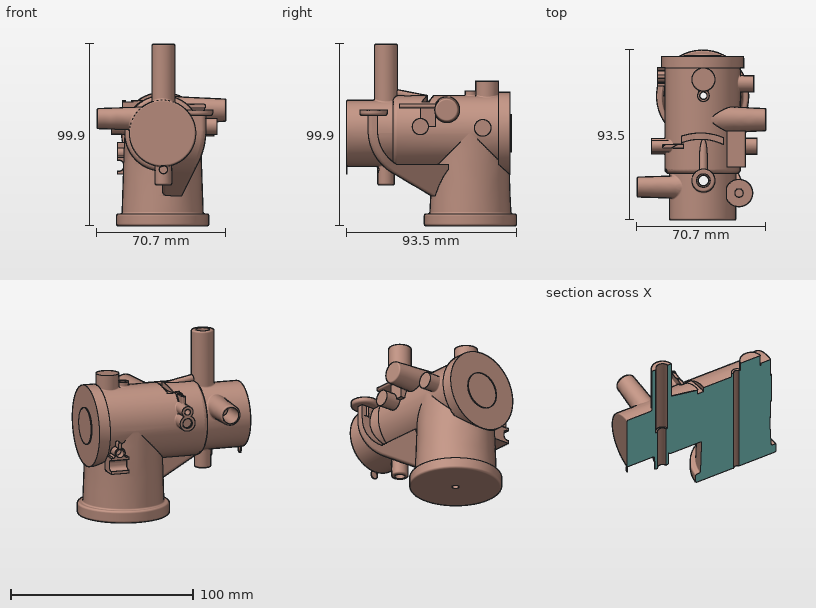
import cadquery as cq
import math

MAIN_D = 41.6
SHOULDER_Y = -42.5
SHOULDER_FILLET = 2.4
FRONT_D = 36.5
FRONT_Y = -68.1
FRONT_EDGE_FILLET = 0.9
CORE_D = 35.5
REAR_FLANGE_D = 45.2
REAR_FLANGE_Y = 15.5
REAR_Y = 21.85
CAP_D = 20.4
CAP_HEIGHT = 0.6

BASE_D = 50.8
BASE_Z = -50.92
BASE_HEIGHT = 6.7
BASE_FILLET = 1.2
NECK_DRAFT = 2.0
NECK_FOOT_FILLET = 0.9

PORT_X = 0.45
PIPE_Y = -46.35
PIPE_D = 12.7
PIPE_TOP_Z = 48.99
PIPE_BORE_D = 7.49
PASSAGE_D = 5.64
TIP_FILLET = 0.9
PIN_D = 9.14
PIN_BOTTOM_Z = -28.4
PIN_BUMP_D = 4.57
PIN_BUMP_Z = -19.9
PIN_BUMP_Y = -51.1
DISC_D = 4.64
DISC_THICKNESS = 0.4

PIPE_RIB_D = 4.5
PIPE_RIB_START_Y = -23.5
PIPE_RIB_ANGLE = 11.0

TUBE_TIP_FILLET = 0.8
LEFT_TUBE_X = -35.96
LEFT_TUBE_Y = -49.9
LEFT_TUBE_Z = 8.1
LEFT_TUBE_TIP_D = 11.1
LEFT_TUBE_ROOT_D = 13.4
LEFT_TUBE_BORE_D = 9.14
LEFT_TUBE_FLOOR_D = 7.9
LEFT_TUBE_BORE_DEPTH = 16.0
RIGHT_TUBE_X = 34.76
RIGHT_TUBE_Y = -12.9
RIGHT_TUBE_Z = 12.7
RIGHT_TUBE_TIP_D = 12.3
RIGHT_TUBE_ROOT_D = 15.6

TOP_STUB_D = 12.7
TOP_STUB_Y = 9.16
TOP_STUB_Z = 28.7
RING_D = 6.4
RING_Y = 0.3
RING_Z = 23.3
RING_HOLE_D = 3.91
REAR_STUB_D = 9.14
REAR_STUB_X = 28.15
REAR_STUB_Y = 6.76
REAR_STUB_Z = 3.0
SENSOR_Y = -27.5
SENSOR_Z = 3.7
SENSOR_D = 8.7
RIGHT_SENSOR_X = 29.95
RIGHT_SENSOR_D = 8.9
PORT_ROOT_FILLET = 0.9
BOSS_ROOT_FILLET = 0.6

LEFT_SENSOR_X = -28.15
LEFT_SENSOR_HOLE_D = 5.45
LEFT_SENSOR_HOLE_DEPTH = 1.7
UPPER_BOSS_Z = 10.06
UPPER_BOSS_D = 6.4
UPPER_HOLE_D = 3.2
BOSS_RIB_X = -22.15
BOSS_RIB_WIDTH = 1.8
BOSS_RIB_ROOT_X = -9.0
BOSS_RIB_TIP_FILLET = 0.55
BOSS_RIB_ROOT_FILLET = 0.35
BOSS_RIB_TOP_Z = 17.9

SLOT_FLOOR_Z = 17.3
SLOT_CENTRE_X = -1.2
SLOT_CENTRE_Y = -52.2
SLOT_OUTER_R = 32.0
SLOT_WIDTH = 3.45

PAD_X = 23.6
PAD_END_Y = -19.2
PAD_FRONT_Y = -38.9
PAD_TOP_Z = 16.0
PAD_THICKNESS = 2.2
PAD_WEB_X = 23.1
PAD_EDGE_FILLET = 1.0

KNOB_X = 20.0
KNOB_Y = -53.2
KNOB_D = 15.1
KNOB_TOP_Z = 12.8
KNOB_BOTTOM_Z = 9.7
KNOB_FLAT_X = 13.0
KNOB_FILLET = 1.4
KNOB_HOLE_D = 4.64
KNOB_HOLE_DEPTH = 9.0
ARM_X = 23.8
ARM_FRONT_Y = -56.2
ARM_BEND_Z = 1.5
ARM_BEND_R = 26.9
ARM_SLOPE = 30.5
ARM_THICKNESS = 5.2
ARM_BOTTOM_Z = -34.3
ARM_SIDE_R = 39.0
ARM_SIDE_ANGLE = 26.6
ARM_EDGE_FILLET = 1.8
ARM_FRONT_FILLET = 2.5

CLIP_X = -24.8
CLIP_Y = 10.66
CLIP_WIDTH = 10.2
CLIP_TOP_Z = -13.4
CLIP_BOTTOM_Z = -22.4
CLIP_CHANNEL_HEIGHT = 6.0
CLIP_CHANNEL_R = 2.4
CLIP_CHANNEL_X = -21.5
CLIP_CHANNEL_Z = -17.8
EYE_Z = -11.0
EYE_D = 6.1
EYE_HOLE_D = 4.64
EYE_RIB_WIDTH = 1.8
EYE_RIB_TOP_Z = -4.95
EYE_RIB_TIP_FILLET = 0.85
EYE_FOOT_REACH = 3.6
EYE_FOOT_PEAK_Z = -9.0

QUARTER_TURN = 90.0
TOLERANCE = 0.1
INSIDE = 12.0


def cylinder(diameter, start, end):
    """Round bar between two points."""
    axis = cq.Vector(*end) - cq.Vector(*start)
    return cq.Workplane(cq.Solid.makeCylinder(diameter / 2, axis.Length, cq.Vector(*start), axis))


def cone(start_d, end_d, start, end):
    """Tapered round bar between two points."""
    axis = cq.Vector(*end) - cq.Vector(*start)
    return cq.Workplane(
        cq.Solid.makeCone(start_d / 2, end_d / 2, axis.Length, cq.Vector(*start), axis)
    )


def box(x_range, y_range, z_range):
    """Block given by its limits along each axis."""
    size = [high - low for low, high in (x_range, y_range, z_range)]
    corner = cq.Vector(x_range[0], y_range[0], z_range[0])
    return cq.Workplane(cq.Solid.makeBox(*size, corner))


def blend(body, added, radius):
    """Join a round part to the body and fillet the curve where they meet."""
    bounds = added.val().BoundingBox()
    joined = body.union(added)
    selector = cq.selectors.BoxSelector(
        (bounds.xmin, bounds.ymin, bounds.zmin), (bounds.xmax, bounds.ymax, bounds.zmax)
    )
    edges = joined.edges(selector).filter(lambda edge: edge.geomType() not in ("LINE", "CIRCLE"))
    return edges.fillet(radius)


def main_barrel():
    barrel = cylinder(MAIN_D, (0, SHOULDER_Y, 0), (0, REAR_FLANGE_Y, 0))
    barrel = barrel.faces("<Y").edges().fillet(SHOULDER_FILLET)
    return barrel.rotate((0, 0, 0), (0, 1, 0), QUARTER_TURN)


def front_barrel():
    """Narrower front barrel with the ports that stand on it."""
    barrel = cylinder(FRONT_D, (0, FRONT_Y, 0), (0, 0, 0))
    barrel = barrel.faces("<Y").edges().fillet(FRONT_EDGE_FILLET)
    barrel = barrel.rotate((0, 0, 0), (0, 1, 0), QUARTER_TURN)
    for port in (pipe(), drain_pin(), left_tube()):
        barrel = blend(barrel, port, PORT_ROOT_FILLET)
    return barrel


def rear_flange():
    flange = cylinder(REAR_FLANGE_D, (0, REAR_FLANGE_Y, 0), (0, REAR_Y, 0))
    return flange.union(cylinder(CAP_D, (0, REAR_Y, 0), (0, REAR_Y + CAP_HEIGHT, 0)))


def lower_neck():
    foot_z = BASE_Z + BASE_HEIGHT
    foot_d = MAIN_D - 2 * foot_z * math.tan(math.radians(NECK_DRAFT))
    base = cylinder(BASE_D, (0, 0, BASE_Z), (0, 0, foot_z)).edges().fillet(BASE_FILLET)
    neck = cone(foot_d, MAIN_D, (0, 0, foot_z), (0, 0, 0))
    joined = base.union(neck)
    around_foot = cq.selectors.BoxSelector(
        (-foot_d, -foot_d, foot_z - TOLERANCE), (foot_d, foot_d, foot_z + TOLERANCE)
    )
    smallest = cq.selectors.RadiusNthSelector(0)
    return joined.edges(around_foot).edges(smallest).fillet(NECK_FOOT_FILLET)


def arm():
    """Curved arm: sloping underside, bending up to a vertical front under the knob."""
    slope = math.radians(ARM_SLOPE)
    centre_y = ARM_FRONT_Y + ARM_BEND_R
    inner_r = ARM_BEND_R - ARM_THICKNESS

    def on_bend(radius, angle):
        return centre_y - radius * math.sin(angle), ARM_BEND_Z - radius * math.cos(angle)

    upright = math.radians(90)
    middle = (slope + upright) / 2
    outer_start = on_bend(ARM_BEND_R, slope)
    root_y = outer_start[0] + (outer_start[1] - ARM_BOTTOM_Z) / math.tan(slope)
    inner_start = on_bend(inner_r, slope)
    side = (
        cq.Workplane("YZ")
        .moveTo(root_y, ARM_BOTTOM_Z)
        .lineTo(*outer_start)
        .threePointArc(on_bend(ARM_BEND_R, middle), on_bend(ARM_BEND_R, upright))
        .lineTo(ARM_FRONT_Y, KNOB_BOTTOM_Z)
        .lineTo(ARM_FRONT_Y + ARM_THICKNESS, KNOB_BOTTOM_Z)
        .lineTo(*on_bend(inner_r, upright))
        .threePointArc(on_bend(inner_r, middle), inner_start)
        .lineTo(-INSIDE, inner_start[1])
        .lineTo(-INSIDE, ARM_BOTTOM_Z)
        .close()
        .extrude(ARM_X)
    )
    lean = math.radians(ARM_SIDE_ANGLE)
    bend_x = ARM_X - ARM_SIDE_R * (1 - math.cos(lean))
    bend_z = ARM_BEND_Z - ARM_SIDE_R * math.sin(lean)
    half_x = ARM_X - ARM_SIDE_R * (1 - math.cos(lean / 2))
    half_z = ARM_BEND_Z - ARM_SIDE_R * math.sin(lean / 2)
    bottom_x = bend_x - (bend_z - ARM_BOTTOM_Z) * math.tan(lean)
    outline = (
        cq.Workplane("XZ")
        .moveTo(0, ARM_BOTTOM_Z)
        .lineTo(bottom_x, ARM_BOTTOM_Z)
        .lineTo(bend_x, bend_z)
        .threePointArc((half_x, half_z), (ARM_X, ARM_BEND_Z))
        .lineTo(ARM_X, KNOB_BOTTOM_Z)
        .lineTo(0, KNOB_BOTTOM_Z)
        .close()
        .extrude(-ARM_FRONT_Y)
    )
    blank = side.intersect(outline)
    slope_middle = (0, (root_y + outer_start[0]) / 2, (ARM_BOTTOM_Z + outer_start[1]) / 2)
    inner_edge = cq.selectors.NearestToPointSelector(slope_middle)
    blank = blank.edges(inner_edge).fillet(ARM_EDGE_FILLET)
    return blank.faces("<Y").edges(">X").fillet(ARM_FRONT_FILLET)


def knob():
    disc = cylinder(KNOB_D, (KNOB_X, KNOB_Y, KNOB_BOTTOM_Z), (KNOB_X, KNOB_Y, KNOB_TOP_Z))
    disc = disc.faces("<Z").edges().fillet(KNOB_FILLET)
    beyond_flat = box(
        (KNOB_X - KNOB_D, KNOB_FLAT_X),
        (KNOB_Y - KNOB_D, KNOB_Y + KNOB_D),
        (KNOB_BOTTOM_Z, KNOB_TOP_Z),
    )
    return disc.cut(beyond_flat)


def pipe():
    bar = cylinder(PIPE_D, (PORT_X, PIPE_Y, INSIDE), (PORT_X, PIPE_Y, PIPE_TOP_Z))
    return bar.faces(">Z").edges().fillet(TIP_FILLET)


def drain_pin():
    pin = cylinder(PIN_D, (PORT_X, PIPE_Y, PIN_BOTTOM_Z), (PORT_X, PIPE_Y, -INSIDE))
    return pin.faces("<Z").edges().fillet(TIP_FILLET)


def left_tube():
    tube = cone(
        LEFT_TUBE_ROOT_D,
        LEFT_TUBE_TIP_D,
        (0, LEFT_TUBE_Y, LEFT_TUBE_Z),
        (LEFT_TUBE_X, LEFT_TUBE_Y, LEFT_TUBE_Z),
    )
    return tube.faces("<X").edges().fillet(TUBE_TIP_FILLET)


def right_tube():
    tube = cone(
        RIGHT_TUBE_ROOT_D,
        RIGHT_TUBE_TIP_D,
        (0, RIGHT_TUBE_Y, RIGHT_TUBE_Z),
        (RIGHT_TUBE_X, RIGHT_TUBE_Y, RIGHT_TUBE_Z),
    )
    return tube.faces(">X").edges().fillet(TUBE_TIP_FILLET)


def pipe_rib():
    """Inclined round rib rising from the top of the body to the pipe."""
    angle = math.radians(PIPE_RIB_ANGLE)
    start_z = MAIN_D / 2 - PIPE_RIB_D / 2 / math.cos(angle)
    run = PIPE_RIB_START_Y - PIPE_Y
    return cylinder(
        PIPE_RIB_D,
        (PORT_X, PIPE_RIB_START_Y, start_z),
        (PORT_X, PIPE_Y, start_z + run * math.tan(angle)),
    )


def double_boss():
    """Two parallel bosses on the left side, one above the other and joined."""
    lower = cylinder(SENSOR_D, (-INSIDE, SENSOR_Y, SENSOR_Z), (LEFT_SENSOR_X, SENSOR_Y, SENSOR_Z))
    upper = cylinder(
        UPPER_BOSS_D, (-INSIDE, SENSOR_Y, UPPER_BOSS_Z), (LEFT_SENSOR_X, SENSOR_Y, UPPER_BOSS_Z)
    )
    return lower.union(upper)


def add_boss_rib(part):
    """Thin upright rib above the double boss, blended into the boss and the barrel."""
    half = BOSS_RIB_WIDTH / 2
    low_y, high_y = SENSOR_Y - half, SENSOR_Y + half
    rib = box((BOSS_RIB_X, BOSS_RIB_ROOT_X), (low_y, high_y), (UPPER_BOSS_Z, BOSS_RIB_TOP_Z))
    rib = rib.edges("<X and |Z").fillet(BOSS_RIB_TIP_FILLET)
    joined = part.union(rib)
    around = cq.selectors.BoxSelector(
        (BOSS_RIB_X, low_y - half, UPPER_BOSS_Z),
        (BOSS_RIB_ROOT_X, high_y + half, BOSS_RIB_TOP_Z - TOLERANCE),
    )
    return joined.edges(around).edges("not |Z").fillet(BOSS_RIB_ROOT_FILLET)


def top_slot():
    inner_r = SLOT_OUTER_R - SLOT_WIDTH
    ring = (
        cq.Workplane("XY", origin=(SLOT_CENTRE_X, SLOT_CENTRE_Y, SLOT_FLOOR_Z))
        .circle(SLOT_OUTER_R)
        .circle(inner_r)
        .extrude(MAIN_D)
    )
    top_half = box((-MAIN_D, MAIN_D), (SLOT_CENTRE_Y + inner_r / 2, 0), (0, MAIN_D))
    core = cylinder(CORE_D, (0, SHOULDER_Y, 0), (0, 0, 0))
    return ring.intersect(top_half).cut(core)


def pad():
    """Flat plate on the right side, carried by a web behind the sensor stub."""
    under_z = PAD_TOP_Z - PAD_THICKNESS
    plate = box((0, PAD_X), (PAD_FRONT_Y, PAD_END_Y), (under_z, PAD_TOP_Z))
    plate = plate.edges(">X and |Y").fillet(PAD_EDGE_FILLET)
    web = box((0, PAD_WEB_X), (SENSOR_Y, PAD_END_Y), (SENSOR_Z, under_z))
    return plate.union(web)


def clip():
    half = CLIP_WIDTH / 2
    block = box(
        (CLIP_X, -INSIDE), (CLIP_Y - half, CLIP_Y + half), (CLIP_BOTTOM_Z, CLIP_TOP_Z)
    )
    channel_half = CLIP_CHANNEL_HEIGHT / 2
    channel = box(
        (CLIP_X - CLIP_CHANNEL_R, CLIP_CHANNEL_X),
        (CLIP_Y - half, CLIP_Y + half),
        (CLIP_CHANNEL_Z - channel_half, CLIP_CHANNEL_Z + channel_half),
    ).edges(">X and |Y").fillet(CLIP_CHANNEL_R)
    eye = cylinder(EYE_D, (CLIP_X, CLIP_Y, EYE_Z), (-INSIDE, CLIP_Y, EYE_Z))
    foot = (
        cq.Workplane("YZ", origin=(CLIP_X, CLIP_Y, 0))
        .polyline([(-EYE_FOOT_REACH, CLIP_TOP_Z), (EYE_FOOT_REACH, CLIP_TOP_Z), (0, EYE_FOOT_PEAK_Z)])
        .close()
        .extrude(-INSIDE - CLIP_X)
    )
    rib_half = EYE_RIB_WIDTH / 2
    rib = box((CLIP_X, -INSIDE), (CLIP_Y - rib_half, CLIP_Y + rib_half), (EYE_Z, EYE_RIB_TOP_Z))
    rib = rib.edges(">Z and |X").fillet(EYE_RIB_TIP_FILLET)
    hole = cylinder(EYE_HOLE_D, (CLIP_X, CLIP_Y, EYE_Z), (-INSIDE, CLIP_Y, EYE_Z))
    return block.cut(channel).union(eye).union(foot).union(rib).cut(hole)


def top_ports():
    """Plain stub on the top of the body with a small drilled boss beside it."""
    stub = cylinder(TOP_STUB_D, (PORT_X, TOP_STUB_Y, INSIDE), (PORT_X, TOP_STUB_Y, TOP_STUB_Z))
    ring = cylinder(RING_D, (PORT_X, RING_Y, INSIDE), (PORT_X, RING_Y, RING_Z))
    return stub.union(ring)


def rear_stub():
    return cylinder(
        REAR_STUB_D, (INSIDE, REAR_STUB_Y, REAR_STUB_Z), (REAR_STUB_X, REAR_STUB_Y, REAR_STUB_Z)
    )


def right_sensor_stub():
    return cylinder(
        RIGHT_SENSOR_D, (INSIDE, SENSOR_Y, SENSOR_Z), (RIGHT_SENSOR_X, SENSOR_Y, SENSOR_Z)
    )


def pin_bump():
    """Short round bump on the front of the drain pin."""
    return cylinder(PIN_BUMP_D, (PORT_X, PIPE_Y, PIN_BUMP_Z), (PORT_X, PIN_BUMP_Y, PIN_BUMP_Z))


def front_disc():
    """Thin disc hanging from the lower edge of the front face."""
    return cylinder(
        DISC_D, (PORT_X, FRONT_Y, PIN_BUMP_Z), (PORT_X, FRONT_Y + DISC_THICKNESS, PIN_BUMP_Z)
    )


def cut_left_holes(part):
    """Blind holes of the left tube and the double boss; the upper boss hole ends at the barrel."""
    tube_floor_x = LEFT_TUBE_X + LEFT_TUBE_BORE_DEPTH
    tube_bore = cone(
        LEFT_TUBE_BORE_D,
        LEFT_TUBE_FLOOR_D,
        (LEFT_TUBE_X, LEFT_TUBE_Y, LEFT_TUBE_Z),
        (tube_floor_x, LEFT_TUBE_Y, LEFT_TUBE_Z),
    )
    lower_hole = cylinder(
        LEFT_SENSOR_HOLE_D,
        (LEFT_SENSOR_X, SENSOR_Y, SENSOR_Z),
        (LEFT_SENSOR_X + LEFT_SENSOR_HOLE_DEPTH, SENSOR_Y, SENSOR_Z),
    )
    upper_hole = cylinder(
        UPPER_HOLE_D, (LEFT_SENSOR_X, SENSOR_Y, UPPER_BOSS_Z), (-INSIDE, SENSOR_Y, UPPER_BOSS_Z)
    ).cut(main_barrel())
    return part.cut(tube_bore).cut(lower_hole).cut(upper_hole)


def cut_upright_holes(part):
    """Pipe bore with the passage below it, the drilled boss and the knob hole."""
    pipe_bore = cylinder(PIPE_BORE_D, (PORT_X, PIPE_Y, 0), (PORT_X, PIPE_Y, PIPE_TOP_Z))
    passage = cylinder(PASSAGE_D, (PORT_X, PIPE_Y, PIN_BOTTOM_Z), (PORT_X, PIPE_Y, 0))
    ring_hole = cylinder(RING_HOLE_D, (PORT_X, RING_Y, BASE_Z), (PORT_X, RING_Y, RING_Z))
    knob_floor_z = KNOB_TOP_Z - KNOB_HOLE_DEPTH
    knob_hole = cylinder(
        KNOB_HOLE_D, (KNOB_X, KNOB_Y, knob_floor_z), (KNOB_X, KNOB_Y, KNOB_TOP_Z)
    )
    return part.cut(pipe_bore).cut(passage).cut(ring_hole).cut(knob_hole)


body = main_barrel()
for port in (double_boss(), top_ports(), rear_stub()):
    body = blend(body, port, BOSS_ROOT_FILLET)
body = add_boss_rib(body)
body = body.union(front_barrel())
for piece in (right_tube(), right_sensor_stub(), pipe_rib()):
    body = body.union(piece)
body = cut_left_holes(body.cut(top_slot()))
for piece in (rear_flange(), lower_neck(), pad(), arm(), knob(), clip(), pin_bump(), front_disc()):
    body = body.union(piece)
result = cut_upright_holes(body)